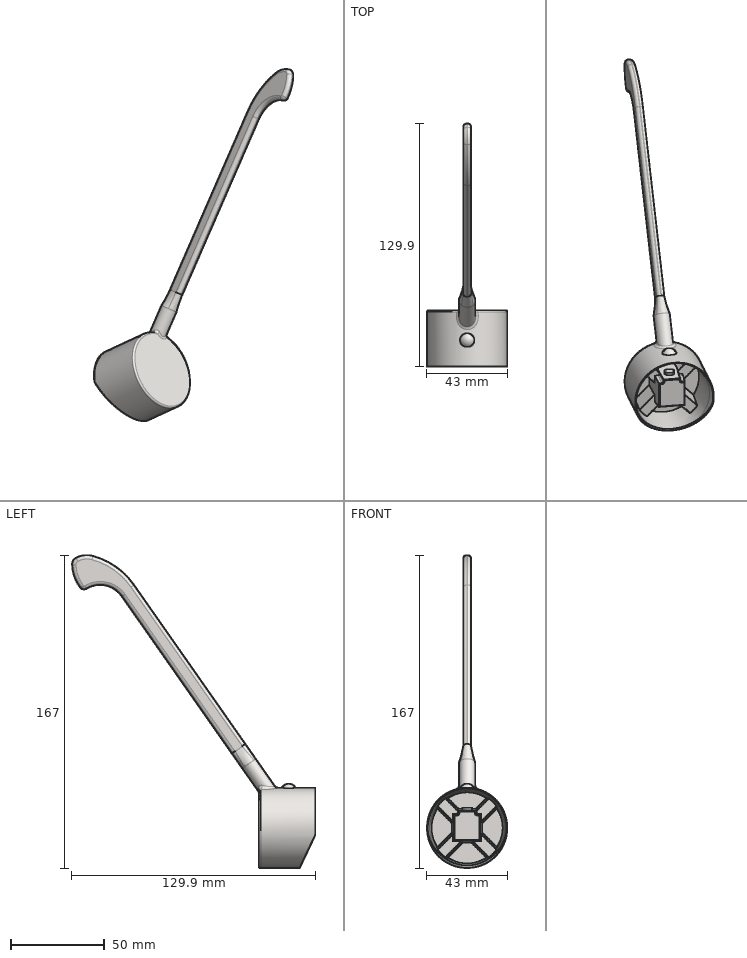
import cadquery as cq
import math

cup_diameter = 43.0
cup_depth = 30.2
cup_back_round = 1.0
lip_thickness = 0.5
wall_thickness = 1.3
lip_depth = 5.8
floor_thickness = 1.7
draft_angle = 3.0

mouth_cut_top = -3.8
mouth_cut_depth = 8.4

block_width = 16.4
block_bottom = -7.8
block_top = 10.2
block_front = 6.7
block_front_chamfer = 0.5
notch_width = 2.5
notch_height = 2.0
post_radius = 2.7
post_top = 10.7
spoke_width = 7.8
spoke_front = 16.7
spoke_draft = 5.0
spoke_angles = (45, -45)

button_center_y = 14.2
button_rise = 2.2
button_sphere_radius = 4.2

handle_lean = 35.0
handle_root_y = 26.4
stem_diameter = 8.9
stem_fillet = 2.0
stem_embed = 5.0
taper_start = 15.9
taper_end = 25.4
blade_thickness = 4.3
blade_round = 2.0
back_curve_start = 129.1
hook_start = 127.8
hook_radius = 14.0
hook_nose_angle = 50.0
nose_radius = 2.5
paddle_crest = (118.7, 145.1)
paddle_tip = (129.8, 142.6)
paddle_end_middle = (128.5, 133.6)
tip_radius = 4.0

cup_radius = cup_diameter / 2
floor_y = cup_depth - floor_thickness
lean = math.radians(handle_lean)


def handle_point(along, across=0.0):
    """(Y, Z) of a point on the handle's mid-plane; across is positive on the underside."""
    y = handle_root_y + along * math.sin(lean) + across * math.cos(lean)
    z = cup_radius + along * math.cos(lean) - across * math.sin(lean)
    return (y, z)


def handle_plane(along):
    """Plane square to the handle axis, with local x running along X."""
    y, z = handle_point(along)
    return cq.Plane(origin=(0, y, z), xDir=(1, 0, 0), normal=(0, math.sin(lean), math.cos(lean)))


def make_cup_blank():
    blank = cq.Workplane("XZ").circle(cup_radius).extrude(-cup_depth)
    return blank.faces(">Y").edges().fillet(cup_back_round)


def make_stem():
    length = stem_embed + taper_start
    return cq.Workplane(handle_plane(-stem_embed)).circle(stem_diameter / 2).extrude(length)


def make_taper():
    """Blend from the round stem to the flat, round-edged blade."""
    stem_radius = stem_diameter / 2
    edge_radius = blade_thickness / 2
    straight = stem_radius - edge_radius
    corner = stem_radius * math.sqrt(0.5)

    round_end = (
        cq.Workplane(handle_plane(taper_start))
        .moveTo(corner, -corner)
        .threePointArc((stem_radius, 0), (corner, corner))
        .threePointArc((0, stem_radius), (-corner, corner))
        .threePointArc((-stem_radius, 0), (-corner, -corner))
        .threePointArc((0, -stem_radius), (corner, -corner))
        .close()
    )
    flat_end = (
        cq.Workplane(handle_plane(taper_end))
        .moveTo(edge_radius, -straight)
        .lineTo(edge_radius, straight)
        .threePointArc((0, stem_radius), (-edge_radius, straight))
        .lineTo(-edge_radius, -straight)
        .threePointArc((0, -stem_radius), (edge_radius, -straight))
        .close()
    )
    sections = [round_end.val(), flat_end.val()]
    return cq.Workplane(cq.Solid.makeLoft(sections, True))


def make_blade():
    """Straight bar ending in a hooked paddle, outlined in the YZ plane."""
    half = stem_diameter / 2
    hook_y, hook_z = handle_point(hook_start, half + hook_radius)

    def hook_point(angle):
        turn = math.radians(angle)
        return (hook_y + hook_radius * math.cos(turn), hook_z + hook_radius * math.sin(turn))

    outline = (
        cq.Workplane("YZ", origin=(-blade_thickness / 2, 0, 0))
        .moveTo(*handle_point(taper_end, half))
        .lineTo(*handle_point(taper_end, -half))
        .lineTo(*handle_point(back_curve_start, -half))
        .tangentArcPoint(paddle_crest, relative=False)
        .tangentArcPoint(paddle_tip, relative=False)
        .threePointArc(paddle_end_middle, hook_point(hook_nose_angle))
        .threePointArc(hook_point(90), handle_point(hook_start, half))
        .close()
    )
    blade = outline.extrude(blade_thickness)
    blade = blade.edges("|X").edges(">Y").fillet(tip_radius)
    nose = cq.selectors.NearestToPointSelector((0, *hook_point(hook_nose_angle)))
    blade = blade.edges("|X").edges(nose).fillet(nose_radius)
    return blade.faces("<X or >X").edges("not <Z").fillet(blade_round)


def make_button():
    center_z = cup_radius + button_rise - button_sphere_radius
    return cq.Workplane("XY").sphere(button_sphere_radius).translate((0, button_center_y, center_z))


def make_cavity():
    """Drafted bore with a bevelled lip."""
    lip_end_radius = cup_radius - wall_thickness
    floor_radius = lip_end_radius - (floor_y - lip_depth) * math.tan(math.radians(draft_angle))
    profile = [
        (0, 0),
        (cup_radius - lip_thickness, 0),
        (lip_end_radius, lip_depth),
        (floor_radius, floor_y),
        (0, floor_y),
    ]
    return cq.Workplane("XY").polyline(profile).close().revolve(360, (0, 0, 0), (0, 1, 0))


def make_block():
    """Drafted block with notched upper corners and a post rising through its top."""
    half_width = block_width / 2
    neck = half_width - notch_width
    ledge = block_top - notch_height
    block = (
        cq.Workplane("XZ", origin=(0, floor_y, 0))
        .moveTo(-half_width, block_bottom)
        .lineTo(half_width, block_bottom)
        .lineTo(half_width, ledge)
        .lineTo(neck, ledge)
        .lineTo(neck, block_top)
        .lineTo(-neck, block_top)
        .lineTo(-neck, ledge)
        .lineTo(-half_width, ledge)
        .close()
        .extrude(floor_y - block_front, taper=draft_angle)
        .faces("<Y")
        .chamfer(block_front_chamfer)
    )
    post = cq.Workplane("XY").center(0, button_center_y).circle(post_radius).extrude(post_top)
    return block.union(post)


def make_spokes():
    """Two crossing drafted bars, set diagonally and trimmed by the cup outside."""
    spokes = cq.Workplane("XY")
    for angle in spoke_angles:
        bar = (
            cq.Workplane("XZ", origin=(0, floor_y, 0))
            .rect(2 * cup_radius, spoke_width)
            .extrude(floor_y - spoke_front, taper=spoke_draft)
        )
        spokes = spokes.add(bar.rotate((0, 0, 0), (0, 1, 0), angle))
    return spokes.combine()


def make_mouth_cut():
    corners = [(0, mouth_cut_top), (mouth_cut_depth, -cup_radius), (0, -cup_radius)]
    return cq.Workplane("YZ").polyline(corners).close().extrude(cup_radius, both=True)


def make_cup_with_stem():
    """Solid cup joined to the stem, with a fillet along their curved seam."""
    joined = make_cup_blank().union(make_stem())
    seam_zone = cq.selectors.BoxSelector(
        (-stem_diameter, cup_depth / 2, cup_radius - wall_thickness),
        (stem_diameter, cup_depth, cup_radius + wall_thickness),
    )
    return joined.edges(seam_zone).edges("%BSPLINE").fillet(stem_fillet)


inserts = make_block().union(make_spokes()).intersect(make_cup_blank())
result = (
    make_cup_with_stem()
    .union(make_taper())
    .union(make_blade())
    .union(make_button())
    .cut(make_cavity())
    .union(inserts)
    .cut(make_mouth_cut())
)